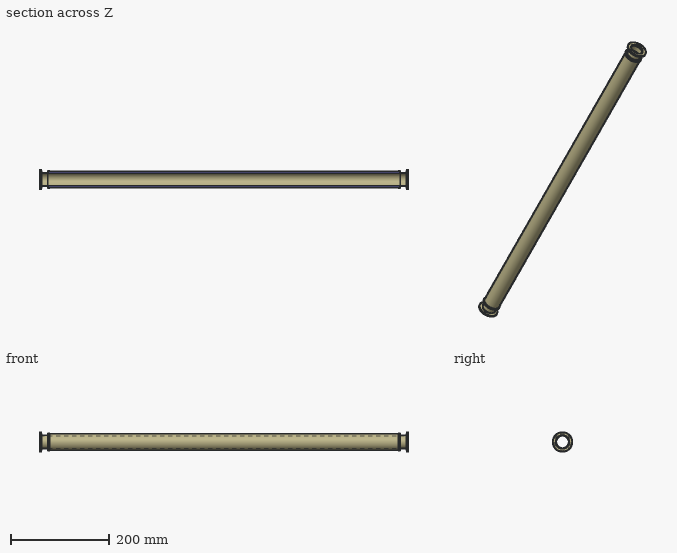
import cadquery as cq
import math

length = 750.0

flange_diameter = 40.0
rim_thickness = 3.0
cone_angle = 15.0

bore_diameter = 25.0
seat_diameter = 26.2
seat_depth = 3.0

neck_diameter = 28.0
body_diameter = 34.0

collar_diameter = 36.0
collar_inset = 17.0
collar_width = 3.5

flange_radius = flange_diameter / 2
bore_radius = bore_diameter / 2
seat_radius = seat_diameter / 2
neck_radius = neck_diameter / 2
body_radius = body_diameter / 2
collar_radius = collar_diameter / 2

end_x = length / 2
seat_floor_x = end_x - seat_depth
rim_back_x = end_x - rim_thickness
cone_length = (flange_radius - neck_radius) * math.tan(math.radians(cone_angle))
cone_end_x = rim_back_x - cone_length
collar_chamfer = collar_radius - body_radius
collar_outer_x = end_x - collar_inset
collar_inner_x = collar_outer_x - collar_width


def mirrored(points):
    """The same points on the -X side, in reverse order."""
    return [(-x, radius) for x, radius in reversed(points)]


def make_pipe():
    """The whole pipe: its wall section turned around the X axis."""
    seat = [
        (seat_floor_x, bore_radius),
        (seat_floor_x, seat_radius),
        (end_x, seat_radius),
    ]
    flange = [
        (end_x, flange_radius),
        (rim_back_x, flange_radius),
        (cone_end_x, neck_radius),
    ]
    collar = [
        (collar_outer_x, neck_radius),
        (collar_outer_x, body_radius),
        (collar_outer_x - collar_chamfer, collar_radius),
        (collar_inner_x + collar_chamfer, collar_radius),
        (collar_inner_x, body_radius),
    ]
    half_section = seat + flange + collar
    section = cq.Workplane("XY").polyline(half_section + mirrored(half_section)).close()
    return section.revolve(360, (0, 0, 0), (1, 0, 0))


result = make_pipe()